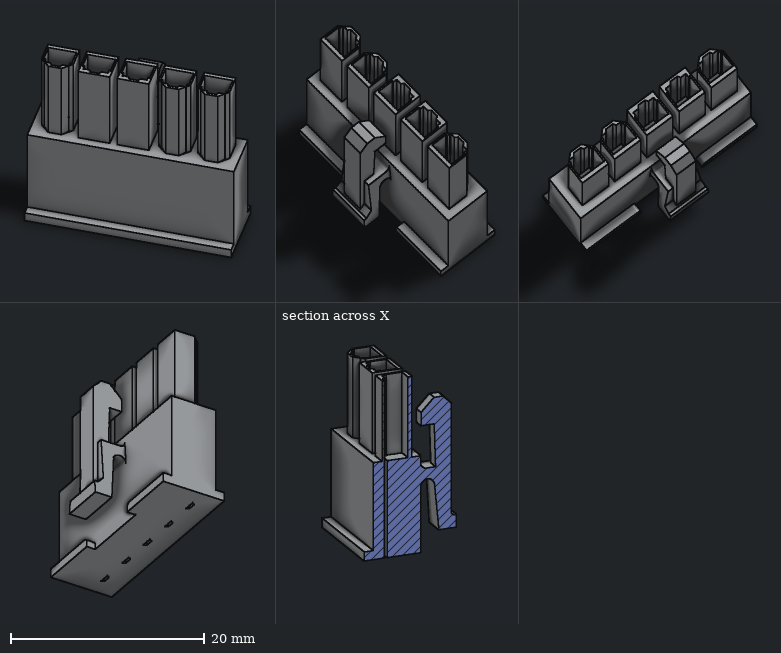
import cadquery as cq
import math

length = 22.2
body_depth = 5.37
body_height = 10.72
flange_overhang = 1.02
flange_height = 1.05
flange_gap_half = 3.97
flange_end_radius = 0.5

tube_pitch = 4.2
tube_size = 3.4
tube_height = 8.88
tube_front_offset = 0.98
tube_chamfer = 1.0
chamfered_tubes = (True, False, False, True, True)

side_wall = 0.2
rear_wall = 0.49
step_inset = 0.38
step_front = 1.05
cavity_front = 0.6
slot_front = 0.29
slot_rear_width = 1.3
slot_front_width = 0.9

lever_reach = 4.0
lever_outer = 2.9
lever_top = 9.28
lever_bottom = 2.25
lever_top_half = 1.9
lever_bottom_half = 2.55
thumb_rest_top = 3.7
thumb_rest_inner = 2.0
shoulder_height = 4.45
shoulder_end = lever_outer + shoulder_height - thumb_rest_top
root_fillet = 0.62
arch_width = 1.5
arch_top = 8.01
beam_width = 2.5
beam_outer = 3.46
beam_root = 1.62
hook_top = 16.94
hook_outer_chamfer = 0.95
hook_inner_chamfer = 1.47
hook_bottom = 13.96

body_front = -body_depth / 2
body_rear = body_depth / 2
tube_front = body_front + tube_front_offset
tube_rear = tube_front + tube_size
total_height = body_height + tube_height


def prism(outline, bottom, height):
    """Vertical prism with an outline in the XY plane."""
    return cq.Workplane("XY").workplane(offset=bottom).polyline(outline).close().extrude(height)


def make_body():
    body = cq.Workplane("XY").box(length, body_depth, body_height, centered=(True, True, False))
    flange_depth = body_depth + 2 * flange_overhang
    flange = cq.Workplane("XY").box(length, flange_depth, flange_height, centered=(True, True, False))
    gap = cq.Workplane("XY", origin=(0, body_rear, 0)).box(
        2 * flange_gap_half, flange_overhang, flange_height, centered=(True, False, False)
    )
    flange = flange.cut(gap)
    for side in (-1, 1):
        gap_corner = (side * flange_gap_half, body_rear + flange_overhang / 2, flange_height)
        gap_edge = cq.selectors.NearestToPointSelector(gap_corner)
        flange = flange.edges(gap_edge).fillet(flange_end_radius)
    return body.union(flange)


def make_tube(center, chamfered):
    tube = cq.Workplane("XY").box(tube_size, tube_size, tube_height, centered=(True, False, False))
    if chamfered:
        tube = tube.faces("<Y").edges("|Z").chamfer(tube_chamfer)
    return tube.translate((center, tube_front, body_height))


def make_cavity(center):
    """Stepped pocket as deep as the tube; its front corners break through a chamfered wall."""
    half = tube_size / 2 - side_wall
    step_half = tube_size / 2 - step_inset
    rear = tube_rear - rear_wall
    step = tube_front + step_front
    front = tube_front + cavity_front
    outline = [
        (center - half, rear),
        (center - half, step),
        (center - step_half, step),
        (center - step_half, front),
        (center + step_half, front),
        (center + step_half, step),
        (center + half, step),
        (center + half, rear),
    ]
    return prism(outline, body_height, tube_height)


def make_slot(center):
    """Tapered slot along the front of a cavity, open through the full height."""
    rear = tube_front + cavity_front
    front = tube_front + slot_front
    outline = [
        (center - slot_rear_width / 2, rear),
        (center - slot_front_width / 2, front),
        (center + slot_front_width / 2, front),
        (center + slot_rear_width / 2, rear),
    ]
    return prism(outline, 0, total_height)


def make_lever():
    """Thumb lever: a side profile trimmed to a width that tapers upward."""
    arch_radius = arch_width / 2
    arch_spring = arch_top - arch_radius
    fillet_middle = root_fillet * (1 - math.sqrt(0.5))
    profile = (
        cq.Workplane("YZ", origin=(0, body_rear, 0))
        .moveTo(0, lever_top + root_fillet)
        .threePointArc((fillet_middle, lever_top + fillet_middle), (root_fillet, lever_top))
        .lineTo(lever_outer, lever_top)
        .lineTo(lever_outer, shoulder_height)
        .lineTo(shoulder_end, thumb_rest_top)
        .lineTo(lever_reach, thumb_rest_top)
        .lineTo(lever_reach, lever_bottom)
        .lineTo(thumb_rest_inner, lever_bottom)
        .lineTo(arch_width, arch_spring)
        .threePointArc((arch_radius, arch_top), (0, arch_spring))
        .close()
        .extrude(lever_bottom_half, both=True)
    )
    taper = (lever_bottom_half - lever_top_half) / (lever_top - lever_bottom)
    root_top = lever_top + root_fillet
    root_half = lever_top_half - taper * root_fillet
    width_limit = (
        cq.Workplane("XZ", origin=(0, body_rear, 0))
        .polyline([
            (-lever_bottom_half, lever_bottom),
            (lever_bottom_half, lever_bottom),
            (root_half, root_top),
            (-root_half, root_top),
        ])
        .close()
        .extrude(-lever_reach)
    )
    return profile.intersect(width_limit)


def make_beam():
    """Narrow upright beam on the lever, ending in the latch hook."""
    outline = [
        (beam_outer, thumb_rest_top),
        (beam_outer, hook_top - hook_outer_chamfer),
        (beam_outer - hook_outer_chamfer, hook_top),
        (hook_inner_chamfer, hook_top),
        (0, hook_top - hook_inner_chamfer),
        (0, hook_bottom),
        (hook_inner_chamfer, hook_bottom),
        (beam_root, lever_top),
        (lever_outer, thumb_rest_top),
    ]
    side = cq.Workplane("YZ", origin=(0, body_rear, 0)).polyline(outline).close()
    return side.extrude(beam_width / 2, both=True)


result = make_body().union(make_lever()).union(make_beam())

first_center = -tube_pitch * (len(chamfered_tubes) - 1) / 2
for index, chamfered in enumerate(chamfered_tubes):
    center = first_center + index * tube_pitch
    tube = make_tube(center, chamfered).cut(make_cavity(center))
    result = result.union(tube).cut(make_slot(center))